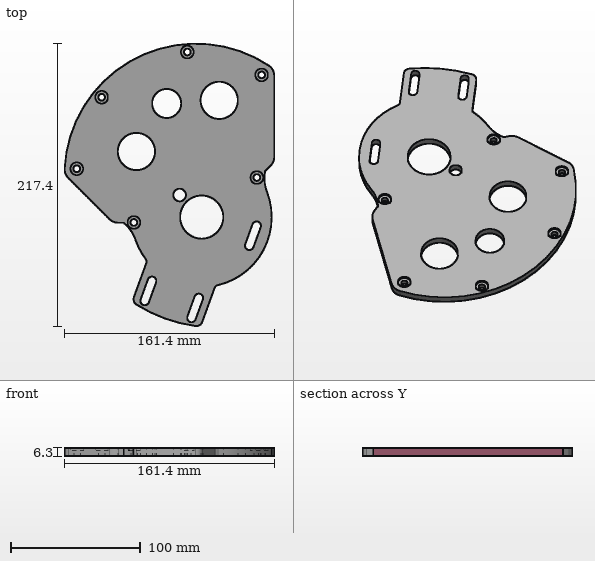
import cadquery as cq
import math

thickness = 6.3

disk_radius = 54.0
tab_angle = -110
disk_right_turn = 60
disk_left_turn = 40
tab_half_width = 28.0
tab_tip_radius = 84.4
tab_reach = 83.0
tab_corner_radius = 5.0
tab_root_radius = 3.3

neck_mirror_angle = 110
neck_disk_angle = 89.5
neck_middle_angle = 79.6
neck_middle_radius = 56.0
neck_cover_angle = 74.2
neck_cover_radius = 60.2

rim_x, rim_y = -4.3, 32.2
rim_radius = 101.3
cover_right = 55.9
cover_slant_sum = -72.6
cover_corner_radius = 9.5

motor_bore_diameter = 33.0
openings = [
    (0, 0, motor_bore_diameter),
    (13.5, 89.8, 28.5),
    (-50.2, 50.5, 28.5),
    (-27.0, 87.5, 22.2),
    (-17.0, 17.0, 9.5),
]

screw_diameter = 5.0
counterbore_diameter = 9.8
counterbore_depth = 1.7
screw_points = [
    (-11.0, 127.0),
    (46.0, 109.4),
    (-77.0, 92.2),
    (-96.1, 37.2),
    (42.5, 30.5),
    (-52.2, -4.1),
]

slot_length = 22.8
slot_width = 6.5
tab_slot_reach = 67.5
tab_slot_side = 19.1
disk_slot_side = 42.0
slot_places = [
    (tab_slot_reach, -tab_slot_side),
    (tab_slot_reach, tab_slot_side),
    (0, disk_slot_side),
]


def polar(radius, angle):
    """Point at a radius and angle in degrees around the motor bore."""
    return (radius * math.cos(math.radians(angle)), radius * math.sin(math.radians(angle)))


def tab_point(along, side):
    """Point given along the tab axis and to its side, positive side toward +X."""
    along_x, along_y = polar(along, tab_angle)
    side_x, side_y = polar(side, tab_angle + 90)
    return (along_x + side_x, along_y + side_y)


def tab_edge_point(radius, side):
    """Point where a tab side meets a circle around the motor bore."""
    return tab_point(math.sqrt(radius**2 - side**2), side)


def neck_points(side):
    """Cover end, middle and disk end of the neck; side is 1 for right, -1 for left."""
    return (
        polar(neck_cover_radius, neck_mirror_angle - side * neck_cover_angle),
        polar(neck_middle_radius, neck_mirror_angle - side * neck_middle_angle),
        polar(disk_radius, neck_mirror_angle - side * neck_disk_angle),
    )


def round_corners(body, points, radius):
    """Fillet the upright edges standing at the given outline points."""
    for x, y in points:
        edge = cq.selectors.NearestToPointSelector((x, y, thickness / 2))
        body = body.edges("|Z").edges(edge).fillet(radius)
    return body


def make_plate():
    right_cover, right_middle, right_disk = neck_points(1)
    left_cover, left_middle, left_disk = neck_points(-1)

    rim_right = (cover_right, rim_y + math.sqrt(rim_radius**2 - (cover_right - rim_x) ** 2))
    right_corner = (cover_right, right_cover[1] + cover_right - right_cover[0])

    left_corner = (cover_slant_sum - left_cover[1], left_cover[1])
    slant_offset = cover_slant_sum - rim_x - rim_y
    rim_left_rise = (slant_offset + math.sqrt(2 * rim_radius**2 - slant_offset**2)) / 2
    rim_left = (rim_x + slant_offset - rim_left_rise, rim_y + rim_left_rise)

    root_right = tab_edge_point(disk_radius, tab_half_width)
    root_left = tab_edge_point(disk_radius, -tab_half_width)
    tip_right = tab_edge_point(tab_tip_radius, tab_half_width)
    tip_left = tab_edge_point(tab_tip_radius, -tab_half_width)
    disk_right_middle = polar(disk_radius, tab_angle + disk_right_turn)
    disk_left_middle = polar(disk_radius, tab_angle - disk_left_turn)

    body = (
        cq.Workplane("XY")
        .moveTo(*rim_right)
        .lineTo(*right_corner)
        .lineTo(*right_cover)
        .threePointArc(right_middle, right_disk)
        .threePointArc(disk_right_middle, root_right)
        .lineTo(*tip_right)
        .threePointArc(tab_point(tab_reach, 0), tip_left)
        .lineTo(*root_left)
        .threePointArc(disk_left_middle, left_disk)
        .threePointArc(left_middle, left_cover)
        .lineTo(*left_corner)
        .lineTo(*rim_left)
        .threePointArc((rim_x, rim_y + rim_radius), rim_right)
        .close()
        .extrude(thickness)
    )
    cover_corners = [rim_right, right_corner, left_corner, rim_left]
    body = round_corners(body, cover_corners, cover_corner_radius)
    body = round_corners(body, [tip_right, tip_left], tab_corner_radius)
    return round_corners(body, [root_right, root_left], tab_root_radius)


def cut_openings(body):
    for x, y, diameter in openings:
        body = body.cut(cq.Workplane("XY").center(x, y).circle(diameter / 2).extrude(thickness))
    return body


def cut_screw_holes(body):
    top = body.faces(">Z").workplane(origin=(0, 0, thickness))
    return top.pushPoints(screw_points).cboreHole(screw_diameter, counterbore_diameter, counterbore_depth)


def cut_slots(body):
    slot_centres = [tab_point(along, side) for along, side in slot_places]
    slots = (
        cq.Workplane("XY")
        .pushPoints(slot_centres)
        .slot2D(slot_length, slot_width, tab_angle)
        .extrude(thickness)
    )
    return body.cut(slots)


result = cut_slots(cut_screw_holes(cut_openings(make_plate())))